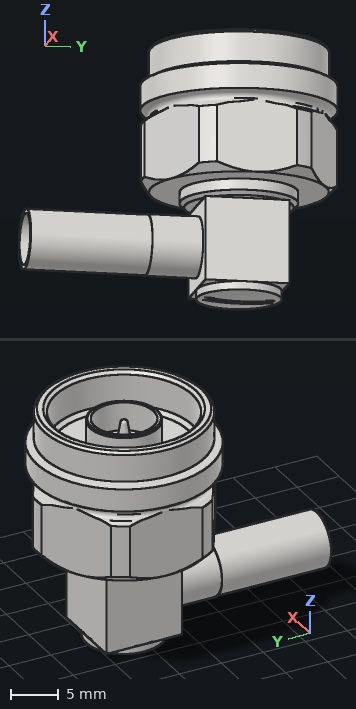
import cadquery as cq
import math


block_side = 9.02
block_half = block_side / 2
cap_rim_height = 0.9
cap_dome_height = 0.35
cap_slot_width = 1.1
cap_slot_depth = 0.25

flange_radius = 6.25
flange_height = 1.67
flange_chamfer = 0.47

nut_diameter = 20.8
nut_radius = nut_diameter / 2
hex_across_flats = 18.95
hex_lower_chamfer_height = 0.95
hex_height = 7.05
hex_upper_chamfer_height = 0.37
hex_upper_chamfer_radius = 9.92
groove_floor_radius = 9.45
groove_half_height = 0.55
collar_under_radius = 9.8
collar_under_height = 0.35
collar_height = 2.67
collar_top_height = 0.45
barrel_radius = 9.52
barrel_height = 3.55
barrel_chamfer = 0.35

recess_radius = 8.1
recess_depth = 4.55
recess_mouth_chamfer = 0.4
recess_floor_chamfer = 0.5
sleeve_radius = 4.0
sleeve_bore_radius = 3.5
sleeve_height = 3.35
sleeve_chamfer = 0.15
pin_base_radius = 0.87
pin_tip_radius = 0.4
pin_taper_height = 2.8

neck_radius = 3.27
neck_length = 5.45
tube_radius = 3.2
overall_length = 33.4
tube_end = overall_length - nut_radius
tube_bore_radius = 2.75
post_radius = 2.27
post_length = 5.35
post_tip_radius = 1.87
post_taper_length = 0.5
core_bore_radius = 1.67
core_seat_radius = 1.57

flange_top = block_half + flange_height
hex_shoulder = flange_top + hex_height
groove_bottom = hex_shoulder + hex_upper_chamfer_height
groove_middle = groove_bottom + groove_half_height
groove_top = groove_middle + groove_half_height
collar_bottom = groove_top + collar_under_height
collar_shoulder = collar_bottom + collar_height
barrel_bottom = collar_shoulder + collar_top_height
nut_top = barrel_bottom + barrel_height
recess_floor = nut_top - recess_depth


def groove_arc_middle(edge_radius):
    """Point halfway along the arc from the groove floor out to an edge.

    Returns its radius and its height away from the groove middle.
    The arc is upright at the groove floor.
    """
    rise = edge_radius - groove_floor_radius
    arc_radius = (rise**2 + groove_half_height**2) / (2 * rise)
    sweep = math.atan2(groove_half_height, arc_radius - rise)
    radius = groove_floor_radius + arc_radius * (1 - math.cos(sweep / 2))
    return radius, arc_radius * math.sin(sweep / 2)


def make_hex_nut():
    """Hexagon with rounded corners, turned chamfers and the lower half of the groove."""
    arc_radius, arc_offset = groove_arc_middle(hex_upper_chamfer_radius)
    turned = (
        cq.Workplane("XZ")
        .moveTo(0, flange_top)
        .lineTo(hex_across_flats / 2, flange_top)
        .lineTo(nut_radius, flange_top + hex_lower_chamfer_height)
        .lineTo(nut_radius, hex_shoulder)
        .lineTo(hex_upper_chamfer_radius, groove_bottom)
        .threePointArc((arc_radius, groove_middle - arc_offset), (groove_floor_radius, groove_middle))
        .lineTo(0, groove_middle)
        .close()
        .revolve(360, (0, 0), (0, 1))
    )
    corner_diameter = hex_across_flats / math.cos(math.pi / 6)
    hexagon = (
        cq.Workplane("XY", origin=(0, 0, flange_top))
        .transformed(rotate=(0, 0, 30))
        .polygon(6, corner_diameter)
        .extrude(groove_middle - flange_top)
    )
    return turned.intersect(hexagon)


def make_collar_and_barrel():
    """Upper half of the groove, the collar and the barrel above it."""
    arc_radius, arc_offset = groove_arc_middle(collar_under_radius)
    return (
        cq.Workplane("XZ")
        .moveTo(0, groove_middle)
        .lineTo(groove_floor_radius, groove_middle)
        .threePointArc((arc_radius, groove_middle + arc_offset), (collar_under_radius, groove_top))
        .lineTo(nut_radius, collar_bottom)
        .lineTo(nut_radius, collar_shoulder)
        .lineTo(barrel_radius, barrel_bottom)
        .lineTo(barrel_radius, nut_top - barrel_chamfer)
        .lineTo(barrel_radius - barrel_chamfer, nut_top)
        .lineTo(0, nut_top)
        .close()
        .revolve(360, (0, 0), (0, 1))
    )


def make_recess():
    """Cavity inside the barrel, chamfered at its mouth and floor."""
    mouth_radius = recess_radius + recess_mouth_chamfer
    floor_radius = recess_radius - recess_floor_chamfer
    return (
        cq.Workplane("XZ")
        .moveTo(0, recess_floor)
        .lineTo(floor_radius, recess_floor)
        .lineTo(recess_radius, recess_floor + recess_floor_chamfer)
        .lineTo(recess_radius, nut_top - recess_mouth_chamfer)
        .lineTo(mouth_radius, nut_top)
        .lineTo(0, nut_top)
        .close()
        .revolve(360, (0, 0), (0, 1))
    )


def make_sleeve():
    """Inner contact sleeve standing on the recess floor."""
    return (
        cq.Workplane("XY", origin=(0, 0, recess_floor))
        .circle(sleeve_radius)
        .extrude(sleeve_height)
        .faces(">Z")
        .chamfer(sleeve_chamfer)
        .cut(
            cq.Workplane("XY", origin=(0, 0, recess_floor))
            .circle(sleeve_bore_radius)
            .extrude(sleeve_height)
        )
    )


def make_pin():
    """Tapered centre pin with a rounded tip."""
    taper_top = recess_floor + pin_taper_height
    arc_reach = pin_tip_radius * math.sqrt(0.5)
    return (
        cq.Workplane("XZ")
        .moveTo(0, recess_floor)
        .lineTo(pin_base_radius, recess_floor)
        .lineTo(pin_tip_radius, taper_top)
        .threePointArc((arc_reach, taper_top + arc_reach), (0, taper_top + pin_tip_radius))
        .close()
        .revolve(360, (0, 0), (0, 1))
    )


def make_elbow():
    """Elbow block with the flange above it."""
    block = cq.Workplane("XY").box(block_side, block_side, block_side)
    flange = (
        cq.Workplane("XY", origin=(0, 0, block_half))
        .circle(flange_radius)
        .extrude(flange_height)
        .faces("<Z")
        .chamfer(flange_chamfer)
    )
    return block.union(flange)


def make_cap():
    """Domed round cap under the block with a screwdriver slot along Y."""
    rim_level = -block_half - cap_rim_height
    cap_bottom = rim_level - cap_dome_height
    dome_radius = (block_half**2 + cap_dome_height**2) / (2 * cap_dome_height)
    half_sweep = math.asin(block_half / dome_radius) / 2
    dome_middle = (
        dome_radius * math.sin(half_sweep),
        cap_bottom + dome_radius * (1 - math.cos(half_sweep)),
    )
    cap = (
        cq.Workplane("XZ")
        .moveTo(0, -block_half)
        .lineTo(block_half, -block_half)
        .lineTo(block_half, rim_level)
        .threePointArc(dome_middle, (0, cap_bottom))
        .close()
        .revolve(360, (0, 0), (0, 1))
    )
    slot = (
        cq.Workplane("XY", origin=(0, 0, cap_bottom))
        .rect(cap_slot_width, block_side)
        .extrude(cap_slot_depth)
    )
    return cap.cut(slot)


def make_cable_outlet():
    """Neck on the block, then the crimp tube around a hollow tapered post."""
    neck_end = block_half + neck_length
    post_end = neck_end + post_length
    mouth_start = post_end - (post_tip_radius - core_bore_radius)
    seat_end = block_half + (core_bore_radius - core_seat_radius)
    return (
        cq.Workplane("XY")
        .moveTo(core_seat_radius, -block_half)
        .lineTo(neck_radius, -block_half)
        .lineTo(neck_radius, -neck_end)
        .lineTo(tube_radius, -neck_end)
        .lineTo(tube_radius, -tube_end)
        .lineTo(tube_bore_radius, -tube_end)
        .lineTo(tube_bore_radius, -neck_end)
        .lineTo(post_radius, -neck_end)
        .lineTo(post_radius, -post_end + post_taper_length)
        .lineTo(post_tip_radius, -post_end)
        .lineTo(core_bore_radius, -mouth_start)
        .lineTo(core_bore_radius, -seat_end)
        .close()
        .revolve(360, (0, 0), (0, 1))
    )


coupling = make_hex_nut().union(make_collar_and_barrel()).cut(make_recess())
contacts = make_sleeve().union(make_pin())
result = make_elbow().union(make_cap()).union(make_cable_outlet()).union(coupling).union(contacts)